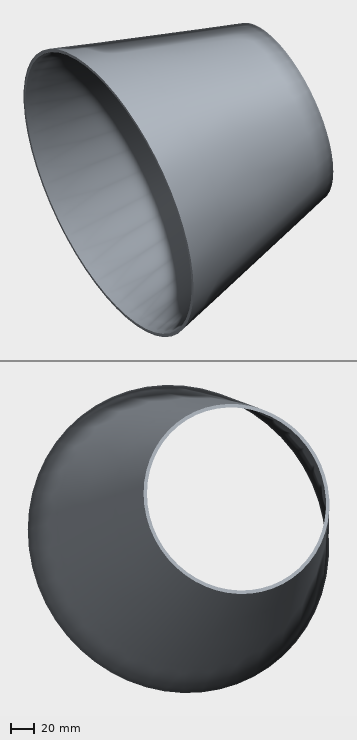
import cadquery as cq
import math

large_diameter = 273.0
small_diameter = 168.5
wall = 3.0
length = 178.0

large_radius = large_diameter / 2
small_radius = small_diameter / 2

slope_angle = math.atan2(large_radius - small_radius, length)
rim_width = wall / math.cos(slope_angle)

wall_section = (
    cq.Workplane("XY")
    .moveTo(large_radius - rim_width, 0)
    .lineTo(large_radius, 0)
    .lineTo(small_radius, length)
    .lineTo(small_radius - rim_width, length)
    .close()
)

result = wall_section.revolve(360, (0, 0, 0), (0, 1, 0))